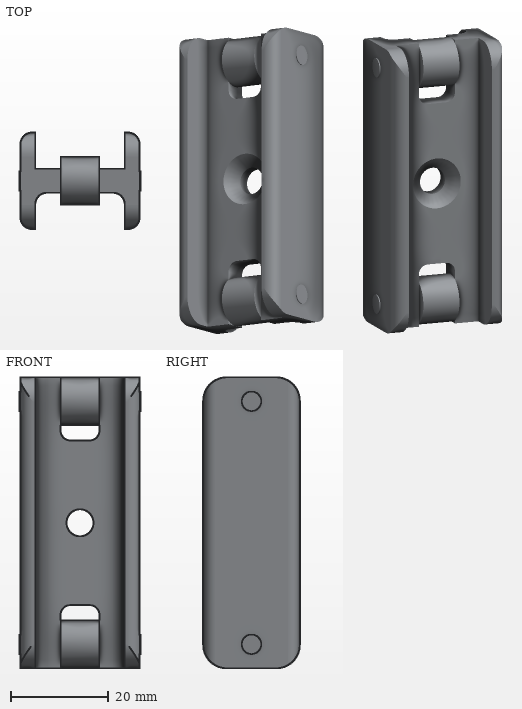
import cadquery as cq
import math

length = 60.0
depth = 20.0
housing_width = 24.6
overall_width = 25.0
flange_thickness = 3.1
web_thickness = 5.0
outer_edge_radius = 2.5
corner_radius = 5.0
web_fillet_radius = 2.35
roller_radius = 5.0
axle_diameter = 4.0
slot_width = 8.0
slot_depth = 13.0
slot_corner_radius = 2.0
center_hole_diameter = 5.5
countersink_depth = 2.5

countersink_diameter = center_hole_diameter + 2 * countersink_depth
axle_height = length / 2 - corner_radius
channel_width = housing_width - 2 * flange_thickness
signs = (-1, 1)


def make_flange(side):
    """Side plate with rounded corners and rounded long outer edges."""
    inner_x = side * channel_width / 2
    center_x = inner_x + side * flange_thickness / 2
    rounded_outline = (
        cq.Workplane("YZ")
        .rect(depth, length)
        .extrude(housing_width / 2, both=True)
        .edges("|X")
        .fillet(corner_radius)
    )
    plate = cq.Workplane("XY").box(flange_thickness, depth, length).translate((center_x, 0, 0))
    outer_face = ">X" if side > 0 else "<X"
    plate = plate.faces(outer_face).edges("|Z").fillet(outer_edge_radius)
    return plate.intersect(rounded_outline)


def make_web():
    """Plate joining the flanges, flared by a fillet into each flange on its -Y face."""
    inner_x = channel_width / 2
    fillet_start_x = inner_x - web_fillet_radius
    front_y = -web_thickness / 2
    fillet_end_y = front_y - web_fillet_radius
    back_y = web_thickness / 2
    arc_offset = web_fillet_radius * math.cos(math.pi / 4)
    arc_x = fillet_start_x + arc_offset
    arc_y = fillet_end_y + arc_offset
    return (
        cq.Workplane("XY")
        .workplane(offset=-length / 2)
        .moveTo(-inner_x, back_y)
        .lineTo(inner_x, back_y)
        .lineTo(inner_x, fillet_end_y)
        .threePointArc((arc_x, arc_y), (fillet_start_x, front_y))
        .lineTo(-fillet_start_x, front_y)
        .threePointArc((-arc_x, arc_y), (-inner_x, fillet_end_y))
        .close()
        .extrude(length)
    )


def make_slot(end):
    """Cutter for the open-ended roller slot, rounded at its closed end."""
    inner_edges = "<Z" if end > 0 else ">Z"
    slot = cq.Workplane("XY").box(slot_width, depth, slot_depth)
    slot = slot.faces(inner_edges).edges("|Y").fillet(slot_corner_radius)
    return slot.translate((0, 0, end * (length - slot_depth) / 2))


def make_cross_cylinder(radius, width, height):
    """Cylinder along X, centered across the part at the given height."""
    return cq.Workplane("YZ", origin=(-width / 2, 0, height)).circle(radius).extrude(width)


def make_center_hole():
    """Cutter for the central hole through the web, countersunk from the +Y face."""
    back_y = web_thickness / 2
    hole = cq.Workplane("XZ", origin=(0, back_y, 0)).circle(center_hole_diameter / 2).extrude(web_thickness)
    countersink = (
        cq.Workplane("XZ", origin=(0, back_y, 0))
        .circle(countersink_diameter / 2)
        .workplane(offset=countersink_depth)
        .circle(center_hole_diameter / 2)
        .loft(ruled=True)
    )
    return hole.union(countersink)


def make_housing():
    """H-section housing with a slot and an axle bore at each end and a countersunk central hole."""
    body = make_web()
    for side in signs:
        body = body.union(make_flange(side))
    for end in signs:
        body = body.cut(make_slot(end))
        body = body.cut(make_cross_cylinder(axle_diameter / 2, overall_width, end * axle_height))
    return body.cut(make_center_hole())


def make_roller(end):
    """Roller with its axle in one piece; the axle tips stand proud of the flanges."""
    height = end * axle_height
    drum = make_cross_cylinder(roller_radius, slot_width, height)
    axle = make_cross_cylinder(axle_diameter / 2, overall_width, height)
    return drum.union(axle)


housing = make_housing()
rollers = [make_roller(end) for end in signs]

result = cq.Compound.makeCompound([housing.val(), *[roller.val() for roller in rollers]])